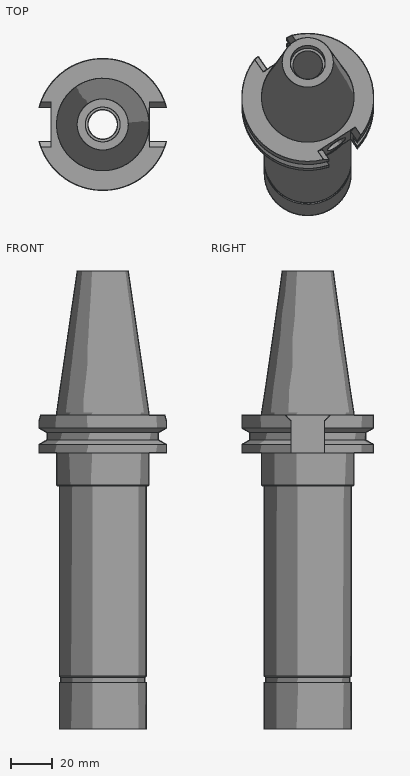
import cadquery as cq
import math

total_height = 220.6
taper_height = 68.5
gauge_z = total_height - taper_height
flange_top_z = 151.1
flange_bottom_z = 133.0
collar_bottom_z = 117.2
nut_height = 22.5
relief_height = 2.5

gauge_radius = 22.3
taper_ratio = 7 / 24
taper_top_radius = gauge_radius - taper_height * taper_ratio / 2

flange_radius = 31.8
groove_radius = 28.0
groove_floor_width = 3.5
groove_middle_z = 141.0
groove_flank_angle = 30
flank_height = (flange_radius - groove_radius) * math.tan(math.radians(groove_flank_angle))
groove_floor_top_z = groove_middle_z + groove_floor_width / 2
groove_floor_bottom_z = groove_middle_z - groove_floor_width / 2

barrel_radius = 21.0
collar_chamfer = 0.5
relief_radius = 20.3
barrel_end_chamfer = barrel_radius - relief_radius
barrel_end_z = nut_height + relief_height

slot_width = 16.3
slot_chamfer = 2.6
left_seat_x = -25.0
right_seat_x = 22.5

seat_hole_diameter = 10.4
seat_hole_depth = 2.2

bore_radius = 7.0
pilot_radius = 8.4
pilot_depth = 5.5


def revolve_profile(points):
    """Revolve (radius, height) points about the vertical axis."""
    return cq.Workplane("XZ").polyline(points).close().revolve(360, (0, 0, 0), (0, 1, 0))


def drive_slot(seat_x, side):
    """Slot cutter, open outward along X (side is +1 or -1), with chamfered upper edges."""
    half = slot_width / 2
    profile = [
        (-half, flange_bottom_z),
        (half, flange_bottom_z),
        (half, flange_top_z - slot_chamfer),
        (half + slot_chamfer, flange_top_z),
        (-half - slot_chamfer, flange_top_z),
        (-half, flange_top_z - slot_chamfer),
    ]
    return (
        cq.Workplane("YZ", origin=(seat_x, 0, 0))
        .polyline(profile)
        .close()
        .extrude(side * flange_radius)
    )


def make_holder():
    body = revolve_profile([
        (0, nut_height),
        (relief_radius, nut_height),
        (relief_radius, barrel_end_z),
        (barrel_radius, barrel_end_z + barrel_end_chamfer),
        (barrel_radius, collar_bottom_z),
        (gauge_radius - collar_chamfer, collar_bottom_z),
        (gauge_radius, collar_bottom_z + collar_chamfer),
        (gauge_radius, flange_bottom_z),
        (flange_radius, flange_bottom_z),
        (flange_radius, groove_floor_bottom_z - flank_height),
        (groove_radius, groove_floor_bottom_z),
        (groove_radius, groove_floor_top_z),
        (flange_radius, groove_floor_top_z + flank_height),
        (flange_radius, flange_top_z),
        (gauge_radius, flange_top_z),
        (gauge_radius, gauge_z),
        (taper_top_radius, total_height),
        (0, total_height),
    ])

    bore = revolve_profile([
        (0, nut_height),
        (bore_radius, nut_height),
        (bore_radius, total_height - pilot_depth),
        (pilot_radius, total_height - pilot_depth),
        (pilot_radius, total_height),
        (0, total_height),
    ])

    seat_hole = (
        cq.Workplane("YZ", origin=(left_seat_x, 0, groove_middle_z))
        .circle(seat_hole_diameter / 2)
        .extrude(seat_hole_depth)
    )

    body = body.cut(drive_slot(left_seat_x, -1))
    body = body.cut(drive_slot(right_seat_x, 1))
    return body.cut(seat_hole).cut(bore)


def make_nut():
    return cq.Workplane("XY").circle(barrel_radius).circle(bore_radius).extrude(nut_height)


holder = make_holder()
nut = make_nut()

result = cq.Compound.makeCompound([holder.val(), nut.val()])